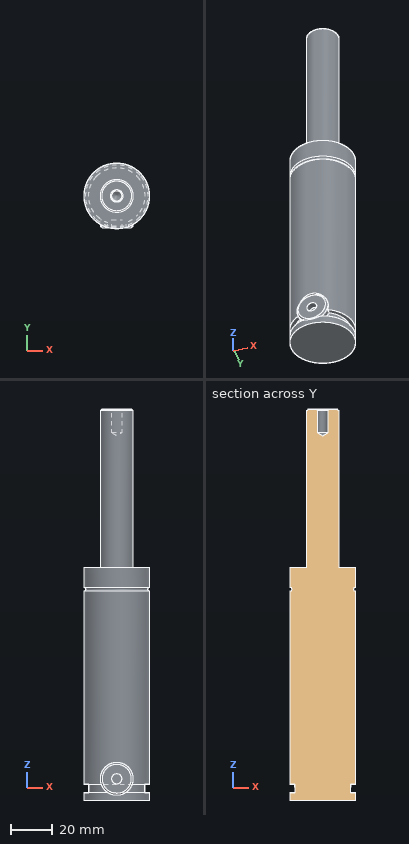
import cadquery as cq
import math

total_height = 190.0
body_diameter = 32.0
body_height = 113.2
body_radius = body_diameter / 2

base_groove_bottom = 4.0
base_groove_width = 4.0
base_groove_depth = 2.3

ring_groove_height = 102.6
ring_groove_radius = 0.85

rod_diameter = 16.0
rod_chamfer = 0.8
rod_hole_diameter = 5.0
rod_hole_depth = 11.4
rod_countersink_diameter = 6.0
drill_point_angle = 118.0
countersink_angle = 90.0

port_diameter = 16.0
port_face_diameter = 14.0
port_height = 10.6
port_depth = 5.7
port_face_recess = 0.4
port_hole_diameter = 5.0
port_hole_depth = 3.8


def cylinder(diameter, bottom, height):
    return cq.Workplane("XY").workplane(offset=bottom).circle(diameter / 2).extrude(height)


def make_body():
    """Cylinder with a square groove and a half-round groove."""
    body = cylinder(body_diameter, 0, body_height)
    groove_floor_diameter = body_diameter - 2 * base_groove_depth
    groove = cylinder(body_diameter, base_groove_bottom, base_groove_width).cut(
        cylinder(groove_floor_diameter, base_groove_bottom, base_groove_width)
    )
    ring = cq.Solid.makeTorus(body_radius, ring_groove_radius, cq.Vector(0, 0, ring_groove_height))
    return body.cut(groove).cut(cq.Workplane(ring))


def make_rod():
    """Piston rod with a chamfered end and a blind hole ending in a drill point."""
    rod = cylinder(rod_diameter, body_height, total_height - body_height)
    rod = rod.faces(">Z").chamfer(rod_chamfer)
    rod = rod.faces(">Z").workplane().cskHole(
        rod_hole_diameter, rod_countersink_diameter, countersink_angle, rod_hole_depth
    )
    tip_height = rod_hole_diameter / 2 / math.tan(math.radians(drill_point_angle / 2))
    tip = cq.Solid.makeCone(
        rod_hole_diameter / 2, 0, tip_height,
        cq.Vector(0, 0, total_height - rod_hole_depth), cq.Vector(0, 0, -1),
    )
    return rod.cut(cq.Workplane(tip))


def port_cylinder(diameter, start, end):
    """Cylinder along +Y between two depths below the outermost line of the body."""
    plane = cq.Workplane("XZ", origin=(0, start - body_radius, port_height))
    return plane.circle(diameter / 2).extrude(start - end)


def make_port_plug():
    """Round plug, chamfered around its flat outer face."""
    chamfer = (port_diameter - port_face_diameter) / 2
    plug = port_cylinder(port_diameter, port_face_recess, port_depth)
    return plug.faces("<Y").chamfer(chamfer)


def make_port_hole():
    """Blind hole in the middle of the plug."""
    return port_cylinder(port_hole_diameter, port_face_recess, port_face_recess + port_hole_depth)


port_pocket = port_cylinder(port_diameter, 0, port_depth)
result = make_body().union(make_rod()).cut(port_pocket).union(make_port_plug()).cut(make_port_hole())